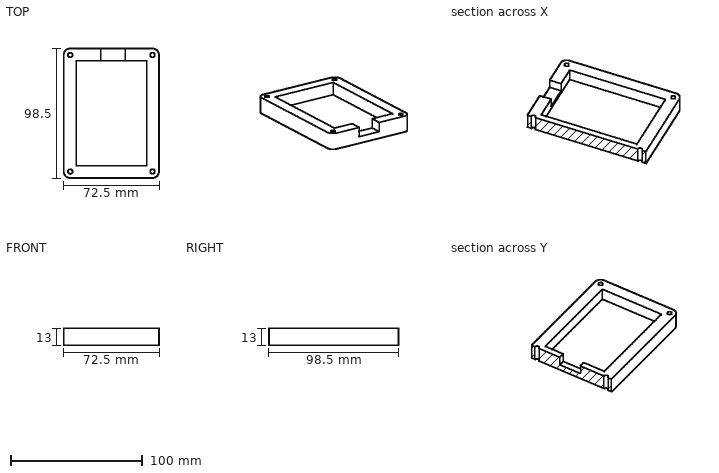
import cadquery as cq

width = 72.5
length = 98.5
height = 13.0
corner_radius = 5.0

wall = 9.5
floor_thickness = 3.0
pocket_width = width - 2 * wall
pocket_length = length - 2 * wall

notch_width = 18.5
notch_offset_x = 1.25
notch_depth = 7.5

hole_diameter = 3.4
hole_inset = 5.0


def make_block():
    """Plate with its bottom face on Z = 0 and rounded vertical corners."""
    block = cq.Workplane("XY").box(width, length, height, centered=(True, True, False))
    return block.edges("|Z").fillet(corner_radius)


def make_pocket():
    """Rectangular recess that leaves a floor of constant thickness."""
    pocket_depth = height - floor_thickness
    return (
        cq.Workplane("XY")
        .workplane(offset=floor_thickness)
        .box(pocket_width, pocket_length, pocket_depth, centered=(True, True, False))
    )


def make_notch():
    """Slot from the pocket out through the +Y wall, open at the top."""
    wall_center_y = (length - wall) / 2
    return (
        cq.Workplane("XY")
        .workplane(offset=height - notch_depth)
        .center(notch_offset_x, wall_center_y)
        .box(notch_width, wall, notch_depth, centered=(True, True, False))
    )


def make_screw_holes():
    """Straight through holes on a rectangle concentric with the block."""
    return (
        cq.Workplane("XY")
        .rect(width - 2 * hole_inset, length - 2 * hole_inset, forConstruction=True)
        .vertices()
        .circle(hole_diameter / 2)
        .extrude(height)
    )


result = make_block().cut(make_pocket()).cut(make_notch()).cut(make_screw_holes())